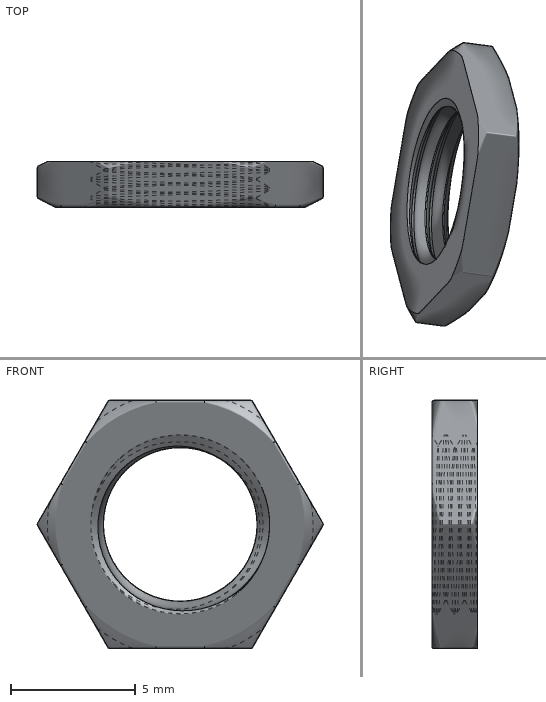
import cadquery as cq
import math

across_flats = 10.0
thickness = 1.85
edge_round = 0.1

chamfer_angle = math.radians(27)
envelope_margin = 1.0
front_face_radius = 5.02
back_face_radius = 5.35

pitch = 0.75
minor_radius = 3.09
flank_angle = math.radians(30)
crest_flat = 0.06
root_radius = 3.6
thread_start_angle = 2
groove_overlap = 0.15

front_countersink_radius = 3.6
back_countersink_radius = 3.33

hexagon_sides = 6
across_corners = across_flats / math.cos(math.pi / hexagon_sides)


def hexagon_prism():
    return cq.Workplane("XZ").polygon(hexagon_sides, across_corners).extrude(-thickness)


def chamfer_envelope():
    """Solid of revolution that trims the hexagon corners to a cone at each end."""
    rim_radius = across_corners / 2 + envelope_margin
    front_drop = (rim_radius - front_face_radius) * math.tan(chamfer_angle)
    back_drop = (rim_radius - back_face_radius) * math.tan(chamfer_angle)
    profile = [
        (0, 0),
        (front_face_radius, 0),
        (rim_radius, front_drop),
        (rim_radius, thickness - back_drop),
        (back_face_radius, thickness),
        (0, thickness),
    ]
    return cq.Workplane("XY").polyline(profile).close().revolve(360, (0, 0), (0, 1))


def countersunk_bore():
    front_depth = (front_countersink_radius - minor_radius) * math.tan(flank_angle)
    back_depth = (back_countersink_radius - minor_radius) * math.tan(flank_angle)
    profile = [
        (0, 0),
        (front_countersink_radius, 0),
        (minor_radius, front_depth),
        (minor_radius, thickness - back_depth),
        (back_countersink_radius, thickness),
        (0, thickness),
    ]
    return cq.Workplane("XY").polyline(profile).close().revolve(360, (0, 0), (0, 1))


def helix(radius, start):
    """Right-hand helix about Z that begins above the X axis at height start."""
    length = thickness + 2 * pitch
    return cq.Wire.makeHelix(pitch, length, radius).translate(cq.Vector(0, 0, start))


def thread_groove():
    """Flat-rooted V groove bounded by ruled helical faces; it runs one pitch past each end of the nut."""
    half_width = (pitch - crest_flat) / 2
    root_half_width = half_width - (root_radius - minor_radius) * math.tan(flank_angle)
    inner_radius = minor_radius - groove_overlap
    start = -pitch
    rails = [
        helix(inner_radius, start - half_width),
        helix(minor_radius, start - half_width),
        helix(root_radius, start - root_half_width),
        helix(root_radius, start + root_half_width),
        helix(minor_radius, start + half_width),
        helix(inner_radius, start + half_width),
    ]
    faces = []
    for rail, next_rail in zip(rails, rails[1:] + rails[:1]):
        faces.append(cq.Face.makeRuledSurface(rail, next_rail).Faces()[0])
    for end in (0, 1):
        corners = [rail.positionAt(end) for rail in rails]
        faces.append(cq.Face.makeFromWires(cq.Wire.makePolygon(corners, close=True)))
    groove = cq.Workplane(cq.Solid.makeSolid(cq.Shell.makeShell(faces)))
    along_bore = groove.rotate((0, 0, 0), (1, 0, 0), -90)
    return along_bore.rotate((0, 0, 0), (0, 1, 0), -thread_start_angle)


def rounded_blank():
    """Chamfered hexagon with every edge rounded except those lying on the back face."""
    blank = hexagon_prism().intersect(chamfer_envelope())
    return blank.edges("not(>Y)").fillet(edge_round)


def bored_blank():
    """Blank with the countersunk bore, its front rim rounded like the outer edges."""
    bored = rounded_blank().cut(countersunk_bore())
    front_rim = bored.faces("<Y").edges("%CIRCLE").edges(cq.selectors.RadiusNthSelector(0))
    return front_rim.fillet(edge_round)


result = bored_blank().cut(thread_groove())